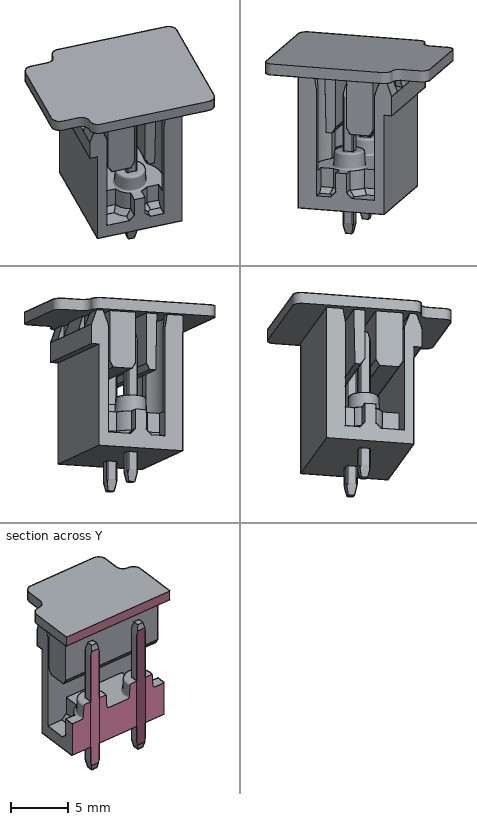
import cadquery as cq
import math


PIN_PITCH = 5.08
PIN_WIDTH = 1.0
PIN_EDGE_CHAMFER = 0.12
PIN_BOTTOM = -2.59
PIN_TOP = 10.78
PIN_TIP_LENGTH = 1.0
PIN_TIP_WIDTH = 0.56
PIN_XS = (-PIN_PITCH / 2, PIN_PITCH / 2)

HOUSING_LENGTH = 10.16
HOUSING_DEPTH = 7.82
HOUSING_HEIGHT = 12.0
FLOOR_THICKNESS = 1.23
PEDESTAL_TOP = 3.43
FRONT_WALL = 0.87
BACK_WALL = 1.68
LIP_OVERHANG = 0.7
LIP_BOTTOM = 8.97
BEVEL_HEIGHT = 1.28
LIP_BEVEL = 0.47
FRONT_INNER_BEVEL = 0.5
BACK_INNER_BEVEL = 0.22
FRONT_Y = -HOUSING_DEPTH / 2
BACK_Y = HOUSING_DEPTH / 2
CAVITY_FRONT_Y = FRONT_Y + FRONT_WALL
CAVITY_BACK_Y = BACK_Y - BACK_WALL
BEVEL_Z = HOUSING_HEIGHT - BEVEL_HEIGHT

RELIEF_RADIUS = -CAVITY_FRONT_Y
COLLAR_BOSS_RADIUS = 1.62
POCKET_CHAMFER = 0.48
BACK_POCKET_LENGTH = 1.37
FRONT_POCKET_LENGTH = 2.01
COLLAR_HEIGHT = 1.48
COLLAR_BASE_RADIUS = 1.39
COLLAR_TOP_RADIUS = 1.32
COLLAR_ROUND = 0.19
CODING_SLOT_MOUTH = 1.43
CODING_SLOT_FLARE = 23

COVER_WIDTH = 11.4
COVER_NOSE_WIDTH = 8.38
COVER_THICKNESS = 1.0
COVER_BACK_Y = 6.9
COVER_FRONT_Y = -7.6
COVER_SHOULDER_Y = -4.58
RAIL_LENGTH = HOUSING_LENGTH
RAIL_BOTTOM = 7.01
RAIL_GAP = PIN_WIDTH
BACK_RAIL_ROOT_Y = 1.48
BACK_RAIL_TIP_Y = 1.37
FRONT_RAIL_Y = -2.91
LEAD_IN_WIDTH = 0.33
LEAD_IN_HEIGHT = 0.53


def prism_along_x(points, length):
    """Extrude a (y, z) outline along X, centred on X = 0."""
    return cq.Workplane("YZ").polyline(points).close().extrude(length / 2, both=True)


def make_pin(x):
    """Square pin with chamfered long edges and a pyramid point at each end."""
    half = PIN_WIDTH / 2
    tip_half = PIN_TIP_WIDTH / 2
    outline = [
        (-tip_half, PIN_BOTTOM),
        (tip_half, PIN_BOTTOM),
        (half, PIN_BOTTOM + PIN_TIP_LENGTH),
        (half, PIN_TOP - PIN_TIP_LENGTH),
        (tip_half, PIN_TOP),
        (-tip_half, PIN_TOP),
        (-half, PIN_TOP - PIN_TIP_LENGTH),
        (-half, PIN_BOTTOM + PIN_TIP_LENGTH),
    ]
    pointed_blade = prism_along_x(outline, PIN_WIDTH)
    crossing_blade = pointed_blade.rotate((0, 0, 0), (0, 0, 1), 90)
    rod = (
        cq.Workplane("XY", origin=(0, 0, PIN_BOTTOM))
        .rect(PIN_WIDTH, PIN_WIDTH).extrude(PIN_TOP - PIN_BOTTOM)
        .edges("|Z").chamfer(PIN_EDGE_CHAMFER)
    )
    return rod.intersect(pointed_blade).intersect(crossing_blade).translate((x, 0, 0))


def make_shell():
    """U-shaped channel along X with a bevelled latching lip on the front wall."""
    outline = [
        (FRONT_Y, 0),
        (BACK_Y, 0),
        (BACK_Y, HOUSING_HEIGHT),
        (CAVITY_BACK_Y + BACK_INNER_BEVEL, HOUSING_HEIGHT),
        (CAVITY_BACK_Y, BEVEL_Z),
        (CAVITY_BACK_Y, PEDESTAL_TOP),
        (CAVITY_FRONT_Y, PEDESTAL_TOP),
        (CAVITY_FRONT_Y, BEVEL_Z),
        (CAVITY_FRONT_Y - FRONT_INNER_BEVEL, HOUSING_HEIGHT),
        (FRONT_Y - LIP_OVERHANG + LIP_BEVEL, HOUSING_HEIGHT),
        (FRONT_Y - LIP_OVERHANG, BEVEL_Z),
        (FRONT_Y - LIP_OVERHANG, LIP_BOTTOM),
        (FRONT_Y, LIP_BOTTOM),
    ]
    return prism_along_x(outline, HOUSING_LENGTH)


def make_wall_relief(x):
    """Half-round cutter for the relief in the back wall behind a pin."""
    return (
        cq.Workplane("XY", origin=(x, 0, PEDESTAL_TOP))
        .moveTo(RELIEF_RADIUS, 0)
        .threePointArc((0, RELIEF_RADIUS), (-RELIEF_RADIUS, 0))
        .close()
        .extrude(HOUSING_HEIGHT - PEDESTAL_TOP)
    )


def make_coding_slot(x):
    """Cutter for a dovetail slot, narrow at the front, through the bevel of the lip."""
    mouth_y = FRONT_Y - LIP_OVERHANG
    mouth = CODING_SLOT_MOUTH / 2
    root = mouth + LIP_OVERHANG * math.tan(math.radians(CODING_SLOT_FLARE))
    return (
        cq.Workplane("XY", origin=(x, 0, BEVEL_Z))
        .polyline([(-mouth, mouth_y), (mouth, mouth_y), (root, FRONT_Y), (-root, FRONT_Y)]).close()
        .extrude(BEVEL_HEIGHT)
    )


def make_pocket(length, y_range):
    """Cutter for one pocket, open at the -X end, with a sloped foot under its end wall."""
    open_x = -HOUSING_LENGTH / 2
    wall_x = open_x + length
    front_y, back_y = y_range
    outline = [
        (open_x, FLOOR_THICKNESS),
        (wall_x - POCKET_CHAMFER, FLOOR_THICKNESS),
        (wall_x, FLOOR_THICKNESS + POCKET_CHAMFER),
        (wall_x, PEDESTAL_TOP),
        (open_x, PEDESTAL_TOP),
    ]
    return (
        cq.Workplane("XZ", origin=(0, back_y, 0)).polyline(outline).close().extrude(back_y - front_y)
    )


def make_end_pockets():
    """Cutter for the two floor pockets at the -X end, on both sides of the end web."""
    foot_top = FLOOR_THICKNESS + POCKET_CHAMFER
    back = make_pocket(BACK_POCKET_LENGTH, (0, CAVITY_BACK_Y))
    front = make_pocket(FRONT_POCKET_LENGTH, (CAVITY_FRONT_Y, 0))

    foot_radius = COLLAR_BOSS_RADIUS + POCKET_CHAMFER
    boss_profile = [
        (0, FLOOR_THICKNESS),
        (foot_radius, FLOOR_THICKNESS),
        (COLLAR_BOSS_RADIUS, foot_top),
        (COLLAR_BOSS_RADIUS, PEDESTAL_TOP),
        (0, PEDESTAL_TOP),
    ]
    boss = (
        cq.Workplane("XZ").polyline(boss_profile).close()
        .revolve(360, (0, 0, 0), (0, 1, 0)).translate((PIN_XS[0], 0, 0))
    )
    web_half = PIN_WIDTH / 2
    foot_half = web_half + POCKET_CHAMFER
    web = prism_along_x(
        [
            (-foot_half, FLOOR_THICKNESS),
            (foot_half, FLOOR_THICKNESS),
            (web_half, foot_top),
            (web_half, PEDESTAL_TOP),
            (-web_half, PEDESTAL_TOP),
            (-web_half, foot_top),
        ],
        HOUSING_LENGTH,
    )
    return back.union(front).cut(boss).cut(web)


def make_collar(x):
    """Slightly conical collar around a pin, flared at its foot and rounded at its top."""
    top = PEDESTAL_TOP + COLLAR_HEIGHT
    round_mid = COLLAR_ROUND * (1 - math.sqrt(0.5))
    flare_radius = COLLAR_BASE_RADIUS + COLLAR_ROUND
    return (
        cq.Workplane("XZ")
        .moveTo(0, PEDESTAL_TOP)
        .lineTo(flare_radius, PEDESTAL_TOP)
        .threePointArc(
            (COLLAR_BASE_RADIUS + round_mid, PEDESTAL_TOP + round_mid),
            (COLLAR_BASE_RADIUS, PEDESTAL_TOP + COLLAR_ROUND),
        )
        .lineTo(COLLAR_TOP_RADIUS, top - COLLAR_ROUND)
        .threePointArc(
            (COLLAR_TOP_RADIUS - round_mid, top - round_mid),
            (COLLAR_TOP_RADIUS - COLLAR_ROUND, top),
        )
        .lineTo(0, top)
        .close()
        .revolve(360, (0, 0, 0), (0, 1, 0))
        .translate((x, 0, 0))
    )


def make_housing(pins):
    """Channel with end pockets, and a collar, a wall relief and a coding slot at each pin."""
    end_pockets = make_end_pockets()
    housing = make_shell().cut(end_pockets).cut(end_pockets.mirror("YZ"))
    for x, pin in zip(PIN_XS, pins):
        housing = housing.cut(make_wall_relief(x)).cut(make_coding_slot(x))
        housing = housing.union(make_collar(x)).cut(pin)
    return housing


def make_cover_plate():
    """Flat plate with a narrower front nose; each shoulder is an S of two tangent quarter rounds."""
    half = COVER_WIDTH / 2
    nose_half = COVER_NOSE_WIDTH / 2
    radius = (half - nose_half) / 2
    return (
        cq.Workplane("XY", origin=(0, 0, HOUSING_HEIGHT))
        .moveTo(0, COVER_BACK_Y)
        .lineTo(half - radius, COVER_BACK_Y)
        .radiusArc((half, COVER_BACK_Y - radius), radius)
        .lineTo(half, COVER_SHOULDER_Y + radius)
        .radiusArc((half - radius, COVER_SHOULDER_Y), radius)
        .radiusArc((nose_half, COVER_SHOULDER_Y - radius), -radius)
        .lineTo(nose_half, COVER_FRONT_Y + radius)
        .radiusArc((nose_half - radius, COVER_FRONT_Y), radius)
        .lineTo(0, COVER_FRONT_Y)
        .mirrorY()
        .extrude(COVER_THICKNESS)
    )


def make_cover():
    """Cover plate with two rails that hang into the housing and grip the pins between them."""
    gap_half = RAIL_GAP / 2
    lead_in_top = RAIL_BOTTOM + LEAD_IN_HEIGHT
    back_rail = [
        (gap_half, HOUSING_HEIGHT),
        (BACK_RAIL_ROOT_Y, HOUSING_HEIGHT),
        (BACK_RAIL_TIP_Y, RAIL_BOTTOM),
        (gap_half + LEAD_IN_WIDTH, RAIL_BOTTOM),
        (gap_half, lead_in_top),
    ]
    front_rail = [
        (-gap_half, HOUSING_HEIGHT),
        (-gap_half, lead_in_top),
        (-gap_half - LEAD_IN_WIDTH, RAIL_BOTTOM),
        (FRONT_RAIL_Y + LEAD_IN_WIDTH, RAIL_BOTTOM),
        (FRONT_RAIL_Y, lead_in_top),
        (FRONT_RAIL_Y, HOUSING_HEIGHT),
    ]
    cover = make_cover_plate()
    for outline in (back_rail, front_rail):
        cover = cover.union(prism_along_x(outline, RAIL_LENGTH))
    return cover


pins = [make_pin(x) for x in PIN_XS]
housing = make_housing(pins)
cover = make_cover()

result = cq.Compound.makeCompound([housing.val(), cover.val(), *[pin.val() for pin in pins]])